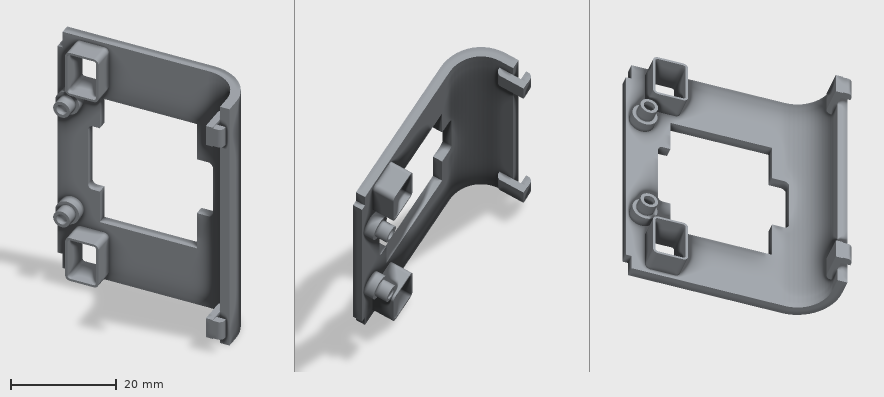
import cadquery as cq

length_x = 41.0
depth_y = 15.05
height_z = 54.0
thickness = 2.0

bend_outer_radius = 9.0
bend_inner_radius = bend_outer_radius - thickness
wall_depth = 11.9
wall_inner_x = length_x - thickness
bend_start_x = length_x - bend_outer_radius

notch_width = 1.1
top_notch_height = 3.55
bottom_notch_height = 3.25

window_left = 8.9
window_right = 29.3
window_height = 28.4
left_slot_edge = 6.4
left_slot_height = 14.45
right_slot_edge = 32.7
right_slot_height = 12.3
slot_corner_radius = 1.0

tube_center_x = 7.35
tube_center_z = 21.15
tube_width = 7.0
tube_height = 9.8
tube_wall = 0.5
tube_outer_radius = 1.0
tube_inner_radius = tube_outer_radius - tube_wall
front_projection = 4.6

boss_center_x = 3.1
boss_center_z = 12.55
boss_base_diameter = 5.0
boss_tip_diameter = 3.5
boss_hole_diameter = 2.2
boss_base_length = 2.1

clip_center_z = 22.0
clip_width = 4.3
hook_width = 4.0
clip_thickness = 1.45
clip_root_y = -8.9
clip_lead_length = 0.85
clip_lead_radius = 1.2
hook_length = 1.5
hook_corner_radius = 1.0

mirrored = (-1, 1)


def box_between(x_min, x_max, y_min, y_max, z_size, z_center=0.0):
    """Box from X and Y limits, centred on z_center."""
    return (
        cq.Workplane("XY")
        .box(x_max - x_min, y_max - y_min, z_size, centered=(False, False, True))
        .translate((x_min, y_min, z_center))
    )


def along_y(x, z, y_start):
    """Sketch plane facing -Y, with its origin at the given point."""
    return cq.Workplane("XZ", origin=(x, y_start, z))


def bent_plate():
    profile = (
        cq.Workplane("XY", origin=(0, 0, -height_z / 2))
        .lineTo(bend_start_x, 0)
        .radiusArc((length_x, -bend_outer_radius), bend_outer_radius)
        .lineTo(length_x, -wall_depth)
        .lineTo(wall_inner_x, -wall_depth)
        .lineTo(wall_inner_x, -bend_outer_radius)
        .radiusArc((bend_start_x, -thickness), -bend_inner_radius)
        .lineTo(0, -thickness)
        .close()
    )
    plate = profile.extrude(height_z)
    for side, notch_height in ((1, top_notch_height), (-1, bottom_notch_height)):
        notch_z = side * (height_z - notch_height) / 2
        plate = plate.cut(box_between(0, notch_width, -thickness, 0, notch_height, notch_z))
    return plate


def window():
    middle_x = (window_left + window_right) / 2
    cut_depth = bend_outer_radius
    opening = box_between(window_left, window_right, -cut_depth, 0, window_height)
    left_slot = box_between(left_slot_edge, middle_x, -cut_depth, 0, left_slot_height)
    right_slot = box_between(middle_x, right_slot_edge, -cut_depth, 0, right_slot_height)
    left_slot = left_slot.edges("|Y and <X").fillet(slot_corner_radius)
    right_slot = right_slot.edges("|Y and >X").fillet(slot_corner_radius)
    return opening.union(left_slot).union(right_slot)


def rounded_bar(z, inset, corner_radius, y_start, bar_length):
    """Rounded rectangular bar along Y, smaller than the tube by inset on every side."""
    return (
        along_y(tube_center_x, z, y_start)
        .rect(tube_width - 2 * inset, tube_height - 2 * inset)
        .extrude(bar_length)
        .edges("|Y")
        .fillet(corner_radius)
    )


def add_tube(body, z):
    outside = rounded_bar(z, 0, tube_outer_radius, -thickness, front_projection)
    inside = rounded_bar(z, tube_wall, tube_inner_radius, 0, thickness + front_projection)
    return body.union(outside).cut(inside)


def add_boss(body, z):
    face = along_y(boss_center_x, z, -thickness)
    base = face.circle(boss_base_diameter / 2).extrude(boss_base_length)
    tip = face.circle(boss_tip_diameter / 2).extrude(front_projection)
    hole = (
        along_y(boss_center_x, z, 0)
        .circle(boss_hole_diameter / 2)
        .extrude(thickness + front_projection)
    )
    return body.union(base).union(tip).cut(hole)


def clip(z):
    """Arm along the inside of the side wall, with a narrower hook facing outwards."""
    arm_face_x = wall_inner_x - clip_thickness
    arm = (
        cq.Workplane("XY", origin=(0, 0, z - clip_width / 2))
        .moveTo(wall_inner_x, -depth_y)
        .lineTo(wall_inner_x, clip_root_y)
        .radiusArc((arm_face_x, clip_root_y - clip_lead_length), -clip_lead_radius)
        .lineTo(arm_face_x, -depth_y)
        .close()
        .extrude(clip_width)
    )
    hook = box_between(wall_inner_x, length_x, -depth_y, hook_length - depth_y, hook_width, z)
    hook = hook.edges("|Z and >X and <Y").fillet(hook_corner_radius)
    return arm.union(hook)


result = bent_plate().cut(window())
for side in mirrored:
    result = add_tube(result, side * tube_center_z)
    result = add_boss(result, side * boss_center_z)
    result = result.union(clip(side * clip_center_z))